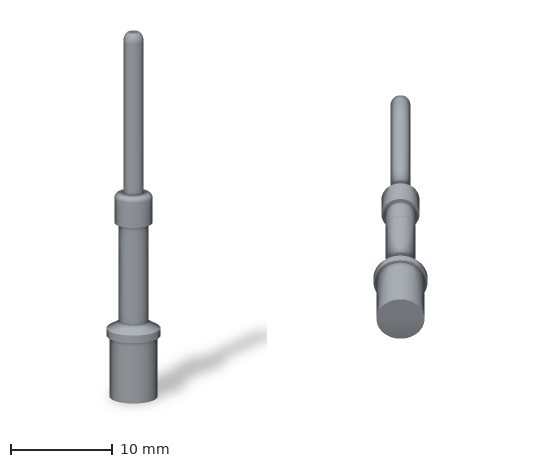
import cadquery as cq

total_height = 37.4

barrel_diameter = 4.7
flange_diameter = 5.3
shaft_diameter = 2.95
neck_diameter = 3.0
collar_diameter = 3.75
pin_diameter = 2.0
tip_flat_diameter = 1.25

barrel_height = 6.3
flange_rim_height = 0.8
flange_cone_height = 0.67
collar_height = 3.05
neck_height = 2.35
pin_length = 16.45
tip_height = 0.82
collar_round = 0.5

flange_top = barrel_height + flange_rim_height
collar_top = total_height - pin_length
collar_bottom = collar_top - collar_height
neck_bottom = collar_bottom - neck_height


def cylinder(diameter, bottom, top):
    """Cylinder on the Z axis between two heights."""
    return cq.Workplane("XY").workplane(offset=bottom).circle(diameter / 2).extrude(top - bottom)


def make_flange():
    """Rim with a cone running up to the shaft."""
    rim_radius = flange_diameter / 2
    cone_top = flange_top + flange_cone_height
    return (
        cq.Workplane("XZ")
        .moveTo(0, barrel_height)
        .lineTo(rim_radius, barrel_height)
        .lineTo(rim_radius, flange_top)
        .lineTo(shaft_diameter / 2, cone_top)
        .lineTo(0, cone_top)
        .close()
        .revolve(360, (0, 0, 0), (0, 1, 0))
    )


def make_pin():
    """Slender pin whose tip is rounded by an arc tangent to its side and cut by a flat end."""
    return (
        cq.Workplane("XZ")
        .moveTo(0, collar_top)
        .lineTo(pin_diameter / 2, collar_top)
        .lineTo(pin_diameter / 2, total_height - tip_height)
        .tangentArcPoint((tip_flat_diameter / 2, total_height), relative=False)
        .lineTo(0, total_height)
        .close()
        .revolve(360, (0, 0, 0), (0, 1, 0))
    )


barrel = cylinder(barrel_diameter, 0, barrel_height)
shaft = cylinder(shaft_diameter, flange_top, neck_bottom)
neck = cylinder(neck_diameter, neck_bottom, collar_bottom)
collar = cylinder(collar_diameter, collar_bottom, collar_top).faces(">Z").edges().fillet(collar_round)

result = barrel.union(make_flange()).union(shaft).union(neck).union(collar).union(make_pin())